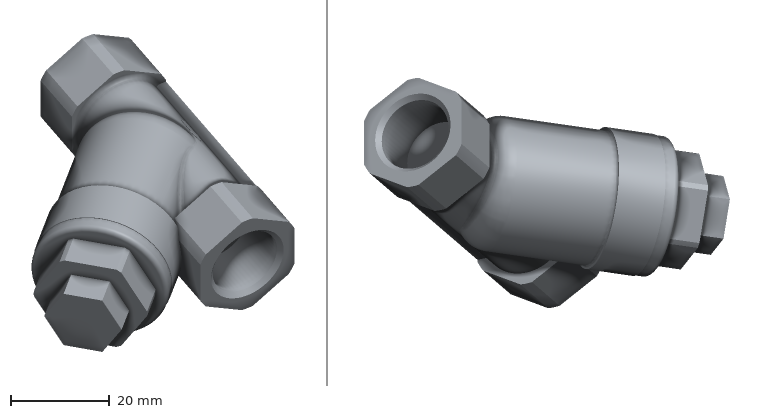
import cadquery as cq
import math

pipe_length = 64.05
pipe_radius = 19.1 / 2
pipe_hex_flats = 22.0
pipe_hex_corner_circle = 24.05
pipe_hex_length = 12.55
pipe_end = pipe_length / 2
bore_diameter = 15.0
bore_mouth_diameter = 17.0
bore_mouth_chamfer = (bore_mouth_diameter - bore_diameter) / 2
bore_depth = pipe_hex_length

rib_height = 8.8

branch_angle = -45.0
branch_start_x = -7.0
body_radius = 27.6 / 2
body_back_fillet = 5.8
collar_start = 27.3
collar_radius = 29.0 / 2
collar_root_fillet = 0.51
cap_start = 37.3
cap_end = 40.35
cap_radius = 28.7 / 2
cap_edge_fillet = 1.0
cap_hex_flats = 21.1
cap_hex_corner_circle = 23.7
cap_hex_end = 47.2
plug_hex_flats = 14.0
plug_hex_end = 53.1

cast_fillet = 1.0

selection_margin = 0.1

arrow_tail_x = -5.05
arrow_shaft_length = 3.95
arrow_shaft_width = 1.1
arrow_head_length = 3.15
arrow_head_width = 1.9
arrow_y = 6.7
arrow_relief = 0.15


def rod(radius, start, end):
    """Round bar along X."""
    return cq.Workplane("YZ").workplane(offset=start).circle(radius).extrude(end - start)


def hex_bar(flats, start, end, turn):
    """Hexagonal bar along X; a turn of 0 puts two corners on the Y axis."""
    corner_distance = flats / math.cos(math.radians(30))
    bar = cq.Workplane("YZ").polygon(6, corner_distance).extrude(end - start)
    return bar.rotate((0, 0, 0), (1, 0, 0), turn).translate((start, 0, 0))


def rounded_hex_bar(flats, corner_circle, start, end, turn):
    """Hexagonal bar whose corners are turned down to a circle."""
    return hex_bar(flats, start, end, turn).intersect(rod(corner_circle / 2, start, end))


def pipe_hex(start):
    return rounded_hex_bar(pipe_hex_flats, pipe_hex_corner_circle, start, start + pipe_hex_length, 30)


def make_pipe():
    """Tube, rib and inlet hexagon with their inside corners filleted."""
    hex_face_x = pipe_hex_length - pipe_end
    tube = rod(pipe_radius, -pipe_end, pipe_end)
    rib = cq.Workplane("XY").box(
        pipe_length - pipe_hex_length, pipe_hex_flats / 2, rib_height, centered=(True, False, True)
    )
    pipe = tube.union(rib).union(pipe_hex(-pipe_end))

    rib_root_y = math.sqrt(pipe_radius**2 - (rib_height / 2) ** 2)
    rib_roots = cq.selectors.BoxSelector(
        (hex_face_x - selection_margin, rib_root_y - selection_margin, -rib_height),
        (pipe_end, rib_root_y + selection_margin, rib_height),
    )
    roots = pipe.edges(rib_roots).edges("|X").vals()
    for edge in pipe.edges("%CIRCLE").vals():
        at_hex_face = abs(edge.Center().x - hex_face_x) < selection_margin
        on_tube = abs(edge.radius() - pipe_radius) < selection_margin
        if at_hex_face and on_tube:
            roots.append(edge)
    return pipe.newObject(roots).fillet(cast_fillet)


def place_branch(shape):
    return shape.rotate((0, 0, 0), (0, 0, 1), branch_angle).translate((branch_start_x, 0, 0))


def make_branch_joint():
    """Tube and round-backed strainer body, filleted along the line where they meet."""
    body = rod(body_radius, 0, cap_start).faces("<X").edges().fillet(body_back_fillet)
    tube = rod(pipe_radius, -pipe_end, pipe_end)
    return tube.union(place_branch(body)).edges("%BSPLINE").fillet(cast_fillet)


def make_collar_and_cap():
    collar = (
        cq.Workplane("XY")
        .moveTo(collar_start - collar_root_fillet, 0)
        .lineTo(collar_start - collar_root_fillet, body_radius)
        .radiusArc((collar_start, body_radius + collar_root_fillet), -collar_root_fillet)
        .lineTo(collar_start, collar_radius)
        .lineTo(cap_start, collar_radius)
        .lineTo(cap_start, 0)
        .close()
        .revolve(360, (0, 0, 0), (1, 0, 0))
    )
    cap = rod(cap_radius, cap_start, cap_end).faces(">X").edges().fillet(cap_edge_fillet)
    cap_hex = rounded_hex_bar(cap_hex_flats, cap_hex_corner_circle, cap_end, cap_hex_end, 0)
    plug_hex = hex_bar(plug_hex_flats, cap_hex_end, plug_hex_end, 0)
    return place_branch(collar.union(cap).union(cap_hex).union(plug_hex))


def make_bore():
    """Blind bore with a chamfered mouth in the -X end."""
    mouth = (
        cq.Workplane("YZ")
        .workplane(offset=-pipe_end)
        .circle(bore_mouth_diameter / 2)
        .workplane(offset=bore_mouth_chamfer)
        .circle(bore_diameter / 2)
        .loft()
    )
    return rod(bore_diameter / 2, -pipe_end, bore_depth - pipe_end).union(mouth)


def make_arrow():
    """Flow arrow pointing to +X, following the round of the pipe."""
    neck_x = arrow_tail_x + arrow_shaft_length
    shaft = cq.Workplane("XY").center(arrow_tail_x + arrow_shaft_length / 2, arrow_y)
    shaft = shaft.rect(arrow_shaft_length, arrow_shaft_width).extrude(pipe_radius)
    head = (
        cq.Workplane("XY")
        .moveTo(neck_x, arrow_y - arrow_head_width / 2)
        .lineTo(neck_x + arrow_head_length, arrow_y)
        .lineTo(neck_x, arrow_y + arrow_head_width / 2)
        .close()
        .extrude(pipe_radius)
    )
    return shaft.union(head).intersect(rod(pipe_radius + arrow_relief, -pipe_end, pipe_end))


outlet_hex = pipe_hex(pipe_end - pipe_hex_length)
casting = make_pipe().union(make_branch_joint()).union(outlet_hex)
inlet_bore = make_bore()
outlet_bore = inlet_bore.mirror("YZ")
solid_part = casting.union(make_collar_and_cap()).union(make_arrow())
result = solid_part.cut(inlet_bore).cut(outlet_bore)